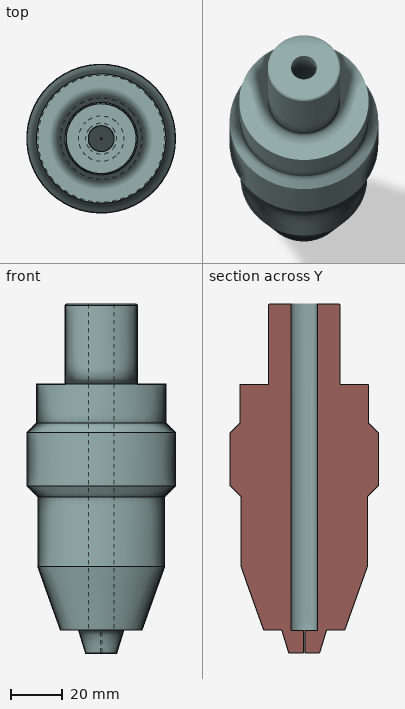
import cadquery as cq

total_length = 135.0

shank_diameter = 28.0
collar_diameter = 50.0
band_diameter = 57.5
barrel_diameter = 49.0
cone_end_diameter = 31.5
tip_base_diameter = 17.5
tip_end_diameter = 12.0
bore_diameter = 10.0
orifice_diameter = 0.5

shank_length = 31.0
shank_chamfer = 0.5
collar_length = 15.0
band_length = 20.5
barrel_length = 27.0
cone_length = 24.5

upper_bevel = (band_diameter - collar_diameter) / 2
lower_bevel = (band_diameter - barrel_diameter) / 2

shank_base_z = total_length - shank_length
collar_base_z = shank_base_z - collar_length
band_top_z = collar_base_z - upper_bevel
band_base_z = band_top_z - band_length
barrel_top_z = band_base_z - lower_bevel
barrel_base_z = barrel_top_z - barrel_length
cone_base_z = barrel_base_z - cone_length


def make_body():
    """Revolve the half outline of the stepped body about the Z axis."""
    shank_radius = shank_diameter / 2
    outline = [
        (0, 0),
        (tip_end_diameter / 2, 0),
        (tip_base_diameter / 2, cone_base_z),
        (cone_end_diameter / 2, cone_base_z),
        (barrel_diameter / 2, barrel_base_z),
        (barrel_diameter / 2, barrel_top_z),
        (band_diameter / 2, band_base_z),
        (band_diameter / 2, band_top_z),
        (collar_diameter / 2, collar_base_z),
        (collar_diameter / 2, shank_base_z),
        (shank_radius, shank_base_z),
        (shank_radius, total_length - shank_chamfer),
        (shank_radius - shank_chamfer, total_length),
        (0, total_length),
    ]
    return cq.Workplane("XZ").polyline(outline).close().revolve(360, (0, 0), (0, 1))


def make_bore():
    """Flat-bottomed bore from the shank end down to the base of the tip."""
    bore_depth = total_length - cone_base_z
    return cq.Workplane("XY", origin=(0, 0, cone_base_z)).circle(bore_diameter / 2).extrude(bore_depth)


def make_orifice():
    """Fine hole that carries on from the bore floor through the tip."""
    return cq.Workplane("XY").circle(orifice_diameter / 2).extrude(cone_base_z)


result = make_body().cut(make_bore().union(make_orifice()))